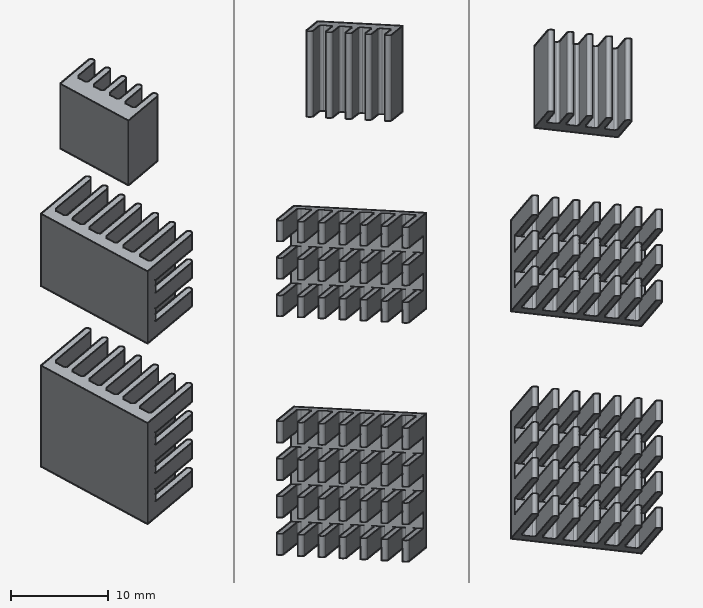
import cadquery as cq

STACK_HEIGHT = 54.5
LARGE_SIDE = 14.0
MEDIUM_HEIGHT = 10.05
MEDIUM_BOTTOM_Z = 25.0
SMALL_SIDE = 9.0

LARGE_DEPTH = 7.5
SMALL_DEPTH = 5.0
LARGE_BASE = 1.3
SMALL_BASE = 1.85

LARGE_FINS = 7
SMALL_FINS = 5
FIN_THICKNESS = 0.7
TIP_RADIUS = FIN_THICKNESS / 2
ROOT_RADIUS = 0.3

LARGE_CUTS = 3
MEDIUM_CUTS = 2
CROSS_PITCH = 3.9


def finned_profile(width, depth, base, fin_count):
    """Closed outline in XY: a base plate with evenly spaced round-ended fins."""
    pitch = (width - FIN_THICKNESS) / (fin_count - 1)
    shoulder = depth - TIP_RADIUS
    left = -width / 2
    right = width / 2
    outline = cq.Workplane("XY").moveTo(right, 0).lineTo(left, 0)
    for i in range(fin_count):
        fin_left = left + i * pitch
        fin_middle = fin_left + TIP_RADIUS
        fin_right = fin_left + FIN_THICKNESS
        outline = outline.lineTo(fin_left, shoulder)
        outline = outline.threePointArc((fin_middle, depth), (fin_right, shoulder))
        if i < fin_count - 1:
            outline = outline.lineTo(fin_right, base).lineTo(fin_left + pitch, base)
    return outline.close()


def finned_block(width, depth, base, height, fin_count):
    """Extruded fin profile with filleted channel floors, standing on Z = 0."""
    block = finned_profile(width, depth, base, fin_count).extrude(height)
    channel_corners = cq.selectors.BoxSelector(
        (-width, base - ROOT_RADIUS, 0), (width, base + ROOT_RADIUS, height)
    )
    return block.edges("|Z").edges(channel_corners).fillet(ROOT_RADIUS)


def cut_across_fins(block, width, depth, base, height, cut_count):
    """Split the fins into equal rows of pins with evenly spaced cuts along X, down to the base."""
    cut_height = (cut_count + 1) * CROSS_PITCH - height
    row_height = CROSS_PITCH - cut_height
    cutter = cq.Workplane("XY").box(width, depth - base, cut_height, centered=(True, False, False))
    for i in range(cut_count):
        block = block.cut(cutter.translate((0, base, row_height + i * CROSS_PITCH)))
    return block


def pin_heatsink(height, cut_count):
    """Heatsink with the large footprint whose fins are cut into pins."""
    block = finned_block(LARGE_SIDE, LARGE_DEPTH, LARGE_BASE, height, LARGE_FINS)
    return cut_across_fins(block, LARGE_SIDE, LARGE_DEPTH, LARGE_BASE, height, cut_count)


large_heatsink = pin_heatsink(LARGE_SIDE, LARGE_CUTS)

medium_heatsink = pin_heatsink(MEDIUM_HEIGHT, MEDIUM_CUTS).translate((0, 0, MEDIUM_BOTTOM_Z))

small_heatsink = finned_block(SMALL_SIDE, SMALL_DEPTH, SMALL_BASE, SMALL_SIDE, SMALL_FINS).translate(
    (0, 0, STACK_HEIGHT - SMALL_SIDE)
)

result = cq.Compound.makeCompound(
    [large_heatsink.val(), medium_heatsink.val(), small_heatsink.val()]
)